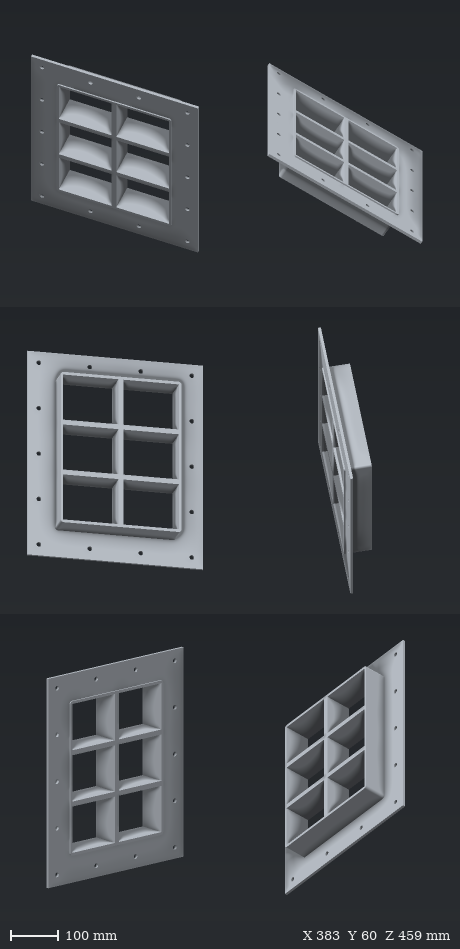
import cadquery as cq

flange_width = 383.0
flange_height = 459.0
flange_thickness = 6.0

body_width = 262.5
body_height = 338.7
body_depth = 60.0
body_corner_radius = 6.0
front_projection = 3.0

columns = 2
rows = 3
opening_width = 120.5
opening_height = 101.5
bar_thickness = 11.0

hole_diameter = 10.0
hole_margin = 25.0
holes_across = 4
holes_up = 5


def block(width, height, depth, front_y):
    """Box centred on X and Z, with its front face at front_y."""
    return cq.Workplane("XY").box(width, depth, height).translate((0, front_y + depth / 2, 0))


def bolt_positions():
    """Evenly spaced hole centres on the border of a rectangular grid."""
    pitch_x = (flange_width - 2 * hole_margin) / (holes_across - 1)
    pitch_z = (flange_height - 2 * hole_margin) / (holes_up - 1)
    return [
        ((i - (holes_across - 1) / 2) * pitch_x, (j - (holes_up - 1) / 2) * pitch_z)
        for i in range(holes_across)
        for j in range(holes_up)
        if i in (0, holes_across - 1) or j in (0, holes_up - 1)
    ]


body = block(body_width, body_height, body_depth, 0).edges("|Y").fillet(body_corner_radius)
flange = block(flange_width, flange_height, flange_thickness, front_projection)

openings = (
    cq.Workplane("XZ")
    .rarray(opening_width + bar_thickness, opening_height + bar_thickness, columns, rows)
    .rect(opening_width, opening_height)
    .extrude(-body_depth)
)
bolt_holes = (
    cq.Workplane("XZ")
    .pushPoints(bolt_positions())
    .circle(hole_diameter / 2)
    .extrude(-body_depth)
)

result = flange.union(body).cut(openings).cut(bolt_holes)